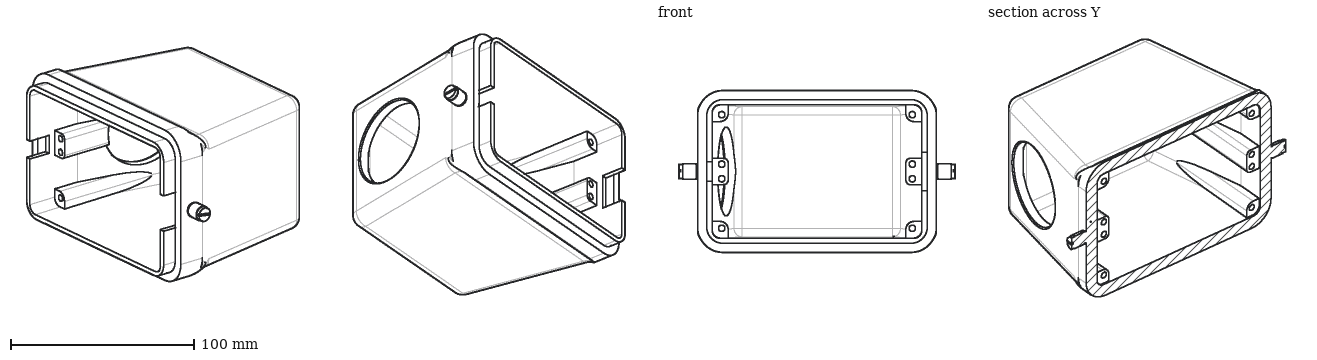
import cadquery as cq
import math

BODY_DEPTH = 98.0
COLLAR_LENGTH = 130.4
COLLAR_HEIGHT = 88.5
COLLAR_CORNER_RADIUS = 14.0
COLLAR_STEP = 5.0
SPIGOT_DEPTH = 8.0
SIDE_TAPER = math.radians(10.9)
TAPER_START_Y = 15.0
BODY_ROUND = 7.0

COVE_RADIUS = 10.0
COVE_LIP_RADIUS = 2.0
COVE_END_Y = 18.8

MOUTH_HALF_LENGTH = 57.2
MOUTH_HALF_HEIGHT = 36.5
FLOOR_HALF_HEIGHT = 35.5
CAVITY_TAPER_START_Y = 25.0
CAVITY_FLOOR_Y = 90.0
CAVITY_ROUND = 4.5

POST_FACE_Y = 9.2
POST_INNER_X = 48.5
POST_BACK_Y = 80.0
POST_WALL_OVERLAP = 2.0
CORNER_POST_INNER_Z = 27.2
CORNER_POST_ROUND = 4.5
MIDDLE_POST_WIDTH = 14.5
MIDDLE_POST_ROUND = 2.6
SCREW_X = 52.0
CORNER_SCREW_Z = 31.0
MIDDLE_SCREW_Z = 4.0
SCREW_HOLE_DIAMETER = 3.5
SCREW_HOLE_DEPTH = 12.0

ENTRY_DIAMETER = 48.5
ENTRY_RIM_DIAMETER = 50.0
ENTRY_Y = 65.8
ENTRY_REACH = 15.0

NOTCH_INNER_X = 56.5
NOTCH_BACK_Y = 5.3
LEFT_NOTCH_WIDTH = 10.5
RIGHT_NOTCH_WIDTH = 20.8

PIN_TIP_X = 75.4
PIN_DIAMETER = 8.5
PIN_CORE_DIAMETER = 7.8
PIN_ROOT_LENGTH = 0.7
PIN_TIP_LENGTH = 2.2
PIN_SLOT_WIDTH = 1.0
PIN_SLOT_DEPTH = 1.0
PIN_SLOT_ANGLE = -8.0
PIN_Y = 8.5

COLLAR_HALF_LENGTH = COLLAR_LENGTH / 2
COLLAR_HALF_HEIGHT = COLLAR_HEIGHT / 2
BODY_HALF_HEIGHT = COLLAR_HALF_HEIGHT - COLLAR_STEP
CORNER_AXIS_X = (
    COLLAR_HALF_LENGTH
    - (COVE_END_Y - TAPER_START_Y) * math.tan(SIDE_TAPER)
    - BODY_ROUND / math.cos(SIDE_TAPER)
)
CORNER_AXIS_Z = BODY_HALF_HEIGHT - BODY_ROUND
SPIGOT_LENGTH = COLLAR_LENGTH - 2 * COLLAR_STEP
SPIGOT_HEIGHT = COLLAR_HEIGHT - 2 * COLLAR_STEP
SPIGOT_CORNER_RADIUS = COLLAR_CORNER_RADIUS - COLLAR_STEP


def tapered_prism(front_y, bend_y, back_y, half_length, half_height):
    """Prism along Z: straight sides up to bend_y, then narrowing toward back_y."""
    back_half = half_length - (back_y - bend_y) * math.tan(SIDE_TAPER)
    outline = [
        (-half_length, front_y),
        (half_length, front_y),
        (half_length, bend_y),
        (back_half, back_y),
        (-back_half, back_y),
        (-half_length, bend_y),
    ]
    return cq.Workplane("XY").polyline(outline).close().extrude(half_height, both=True)


def rounded_block(front_y, back_y, length, height, radius):
    """Block along Y whose four long edges are rounded."""
    block = cq.Workplane("XY").box(length, back_y - front_y, height)
    return block.translate((0, (front_y + back_y) / 2, 0)).edges("|Y").fillet(radius)


def make_body():
    """Tapered hood with rounded long edges and a rounded back."""
    back_half = COLLAR_HALF_LENGTH - (BODY_DEPTH - TAPER_START_Y) * math.tan(SIDE_TAPER)
    outline = [
        (-COLLAR_HALF_LENGTH, TAPER_START_Y),
        (COLLAR_HALF_LENGTH, TAPER_START_Y),
        (back_half, BODY_DEPTH),
        (-back_half, BODY_DEPTH),
    ]
    body = cq.Workplane("XY").polyline(outline).close().extrude(BODY_HALF_HEIGHT, both=True)
    return body.edges("not <Y").fillet(BODY_ROUND)


def make_cove_profile():
    """Side profile of the collar in the YZ plane, from the corner axis up to the cove."""
    cove_z = BODY_HALF_HEIGHT + COVE_RADIUS
    lip_z = COLLAR_HALF_HEIGHT - COVE_LIP_RADIUS
    reach = COVE_RADIUS + COVE_LIP_RADIUS
    lip_y = COVE_END_Y - math.sqrt(reach**2 - (cove_z - lip_z) ** 2)
    join_angle = math.atan2(cove_z - lip_z, COVE_END_Y - lip_y)
    lip_mid_angle = (join_angle + math.pi / 2) / 2

    def on_lip(angle):
        return (lip_y + COVE_LIP_RADIUS * math.cos(angle), lip_z + COVE_LIP_RADIUS * math.sin(angle))

    def on_cove(angle):
        return (COVE_END_Y - COVE_RADIUS * math.cos(angle), cove_z - COVE_RADIUS * math.sin(angle))

    return (
        cq.Workplane("YZ", origin=(CORNER_AXIS_X, 0, 0))
        .moveTo(-SPIGOT_DEPTH, CORNER_AXIS_Z)
        .lineTo(-SPIGOT_DEPTH, COLLAR_HALF_HEIGHT)
        .lineTo(lip_y, COLLAR_HALF_HEIGHT)
        .threePointArc(on_lip(lip_mid_angle), on_lip(join_angle))
        .threePointArc(on_cove(lip_mid_angle), (COVE_END_Y, BODY_HALF_HEIGHT))
        .lineTo(COVE_END_Y, CORNER_AXIS_Z)
        .close()
    )


def make_coved_envelope():
    """Solid bounded by the cove, which runs straight and then turns round each body corner."""
    axis_x_at_mouth = CORNER_AXIS_X + (COVE_END_Y + SPIGOT_DEPTH) * math.tan(SIDE_TAPER)
    between_axes = tapered_prism(
        -2 * SPIGOT_DEPTH, -SPIGOT_DEPTH, BODY_DEPTH, axis_x_at_mouth, COLLAR_HALF_HEIGHT
    )
    straight = make_cove_profile().extrude(COLLAR_LENGTH, both=True).intersect(between_axes)

    corner = make_cove_profile().revolve(360, (0, CORNER_AXIS_Z), (1, CORNER_AXIS_Z))
    tilt_start = (CORNER_AXIS_X, COVE_END_Y, 0)
    tilt_end = (CORNER_AXIS_X, COVE_END_Y, 1)
    corner = corner.rotate(tilt_start, tilt_end, math.degrees(SIDE_TAPER))

    upper = straight.union(corner).union(corner.mirror("YZ"))
    middle = cq.Workplane("XY").box(COLLAR_LENGTH, 2 * COVE_END_Y, 2 * CORNER_AXIS_Z)
    return middle.union(upper).union(upper.mirror("XY"))


def make_collar():
    """Rounded collar: full outline at the mouth, coved and tapered toward the body."""
    block = rounded_block(0, BODY_DEPTH, COLLAR_LENGTH, COLLAR_HEIGHT, COLLAR_CORNER_RADIUS)
    sides = tapered_prism(0, TAPER_START_Y, BODY_DEPTH, COLLAR_HALF_LENGTH, COLLAR_HALF_HEIGHT)
    return block.intersect(make_coved_envelope()).intersect(sides)


def make_cavity():
    """Drafted cavity with straight end walls near the mouth and tapered ones behind."""
    prism = tapered_prism(
        -SPIGOT_DEPTH, CAVITY_TAPER_START_Y, CAVITY_FLOOR_Y, MOUTH_HALF_LENGTH, MOUTH_HALF_HEIGHT
    )
    draft_outline = [
        (-SPIGOT_DEPTH, -MOUTH_HALF_HEIGHT),
        (-SPIGOT_DEPTH, MOUTH_HALF_HEIGHT),
        (CAVITY_FLOOR_Y, FLOOR_HALF_HEIGHT),
        (CAVITY_FLOOR_Y, -FLOOR_HALF_HEIGHT),
    ]
    draft = cq.Workplane("YZ").polyline(draft_outline).close().extrude(MOUTH_HALF_LENGTH, both=True)
    bend_edges = cq.selectors.BoxSelector(
        (-COLLAR_LENGTH, CAVITY_TAPER_START_Y - 1, -1), (COLLAR_LENGTH, CAVITY_TAPER_START_Y + 1, 1)
    )
    rounded = cq.Workplane(prism.intersect(draft).val())
    return rounded.edges("not <Y").edges(-bend_edges).fillet(CAVITY_ROUND)


def make_posts():
    """Four corner posts and two middle posts, merging into the tapered end walls."""
    length = POST_BACK_Y - POST_FACE_Y
    width = MOUTH_HALF_LENGTH + POST_WALL_OVERLAP - POST_INNER_X
    corner_height = MOUTH_HALF_HEIGHT + POST_WALL_OVERLAP / 2 - CORNER_POST_INNER_Z
    corner = cq.Workplane("XY").box(width, length, corner_height, centered=False)
    corner = corner.edges("|Y and <X and <Z").fillet(CORNER_POST_ROUND)
    corner = corner.translate((POST_INNER_X, POST_FACE_Y, CORNER_POST_INNER_Z))
    middle = cq.Workplane("XY").box(width, length, MIDDLE_POST_WIDTH, centered=(False, False, True))
    middle = middle.edges("|Y and <X").fillet(MIDDLE_POST_ROUND)
    middle = middle.translate((POST_INNER_X, POST_FACE_Y, 0))
    right = corner.union(corner.mirror("XY")).union(middle)
    return right.union(right.mirror("YZ"))


def make_screw_holes():
    """Blind holes in the post faces."""
    hole = cq.Workplane("XZ").circle(SCREW_HOLE_DIAMETER / 2).extrude(-SCREW_HOLE_DEPTH)
    holes = cq.Workplane("XY")
    for x in (-SCREW_X, SCREW_X):
        for z in (-CORNER_SCREW_Z, -MIDDLE_SCREW_Z, MIDDLE_SCREW_Z, CORNER_SCREW_Z):
            holes = holes.add(hole.translate((x, POST_FACE_Y, z)))
    return holes.combine()


def make_cable_entry():
    """Round hole square to the tapered -X wall, chamfered at its outer rim."""
    wall_x = -COLLAR_HALF_LENGTH + (ENTRY_Y - TAPER_START_Y) * math.tan(SIDE_TAPER)
    inward = (math.cos(SIDE_TAPER), -math.sin(SIDE_TAPER), 0)
    plane = cq.Plane(origin=(wall_x, ENTRY_Y, 0), xDir=(0, 0, 1), normal=inward)
    radius = ENTRY_DIAMETER / 2
    rim_radius = ENTRY_RIM_DIAMETER / 2
    bore = cq.Workplane(plane).circle(radius).extrude(ENTRY_REACH)
    rim = cq.Workplane(plane).circle(rim_radius).extrude(rim_radius - radius, taper=45)
    return bore.union(rim)


def make_notch(width):
    """Notch in the +X spigot wall, running a little way behind the collar face."""
    outer_x = COLLAR_HALF_LENGTH - COLLAR_STEP
    notch = cq.Workplane("XY").box(
        outer_x - NOTCH_INNER_X, SPIGOT_DEPTH + NOTCH_BACK_Y, width, centered=(False, False, True)
    )
    return notch.translate((NOTCH_INNER_X, -SPIGOT_DEPTH, 0))


def make_pin():
    """Locking pin on the +X side: full barrel between a narrow root and a slotted tip."""
    root_x = COLLAR_HALF_LENGTH - COLLAR_STEP / 2
    core = cq.Workplane("YZ", origin=(root_x, PIN_Y, 0)).circle(PIN_CORE_DIAMETER / 2)
    core = core.extrude(PIN_TIP_X - root_x)
    barrel_x = COLLAR_HALF_LENGTH + PIN_ROOT_LENGTH
    barrel_length = PIN_TIP_X - PIN_TIP_LENGTH - barrel_x
    barrel = cq.Workplane("YZ", origin=(barrel_x, PIN_Y, 0)).circle(PIN_DIAMETER / 2)
    slot = cq.Workplane("XY").box(2 * PIN_SLOT_DEPTH, 2 * PIN_DIAMETER, PIN_SLOT_WIDTH)
    slot = slot.rotate((0, 0, 0), (1, 0, 0), PIN_SLOT_ANGLE).translate((PIN_TIP_X, PIN_Y, 0))
    return core.union(barrel.extrude(barrel_length)).cut(slot)


spigot = rounded_block(-SPIGOT_DEPTH, TAPER_START_Y, SPIGOT_LENGTH, SPIGOT_HEIGHT, SPIGOT_CORNER_RADIUS)
shell = make_body().union(make_collar()).union(spigot)
hood = shell.cut(make_cavity().cut(make_posts()))
hood = hood.cut(make_screw_holes()).cut(make_cable_entry())
hood = hood.cut(make_notch(RIGHT_NOTCH_WIDTH)).cut(make_notch(LEFT_NOTCH_WIDTH).mirror("YZ"))
pin = make_pin()
result = hood.union(pin).union(pin.mirror("YZ"))